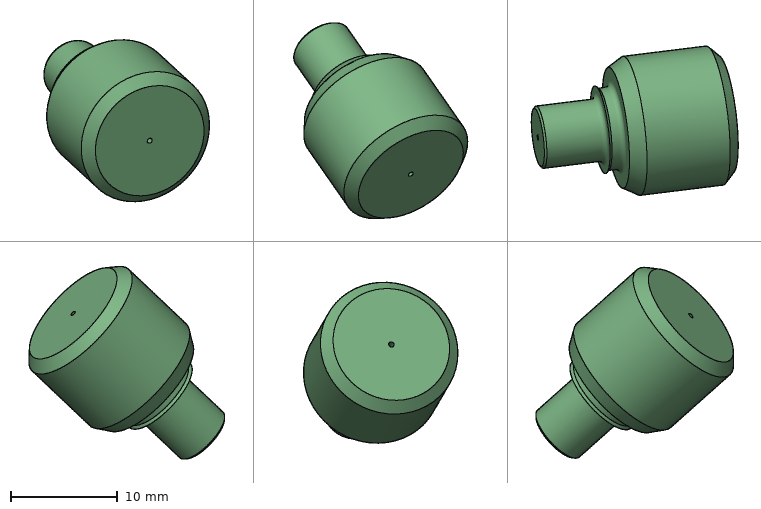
import cadquery as cq
import math

length = 18.0

pin_radius = 5.9 / 2
pin_length = 6.0
pin_chamfer = 0.2

collar_radius = 7.8 / 2
lip_flare = 0.25
root_fillet = 0.5

body_radius = 13.15 / 2
body_start = 7.5
front_bevel_length = 1.5
front_bevel_angle = 30.0
rear_chamfer = 1.0

bore_diameter = 0.5

front_bevel_drop = front_bevel_length * math.tan(math.radians(front_bevel_angle))


def add_root_fillet(profile, face_x, radius):
    """Run along a cylinder, then sweep outward in a concave arc tangent to the face at face_x."""
    center_x = face_x - root_fillet
    center_r = radius + root_fillet
    offset = root_fillet * math.sqrt(0.5)
    return profile.lineTo(center_x, radius).threePointArc(
        (center_x + offset, center_r - offset), (face_x, center_r)
    )


profile = (
    cq.Workplane("XY")
    .moveTo(0, 0)
    .lineTo(0, pin_radius - pin_chamfer)
    .lineTo(pin_chamfer, pin_radius)
)
profile = add_root_fillet(profile, pin_length, pin_radius)
profile = (
    profile.lineTo(pin_length, collar_radius + lip_flare)
    .lineTo(pin_length + lip_flare, collar_radius)
)
profile = add_root_fillet(profile, body_start, collar_radius)
profile = (
    profile.lineTo(body_start, body_radius - front_bevel_drop)
    .lineTo(body_start + front_bevel_length, body_radius)
    .lineTo(length - rear_chamfer, body_radius)
    .lineTo(length, body_radius - rear_chamfer)
    .lineTo(length, 0)
    .close()
)
turned_part = profile.revolve(360, (0, 0, 0), (1, 0, 0))

bore = cq.Workplane("YZ").circle(bore_diameter / 2).extrude(length)

result = turned_part.cut(bore)